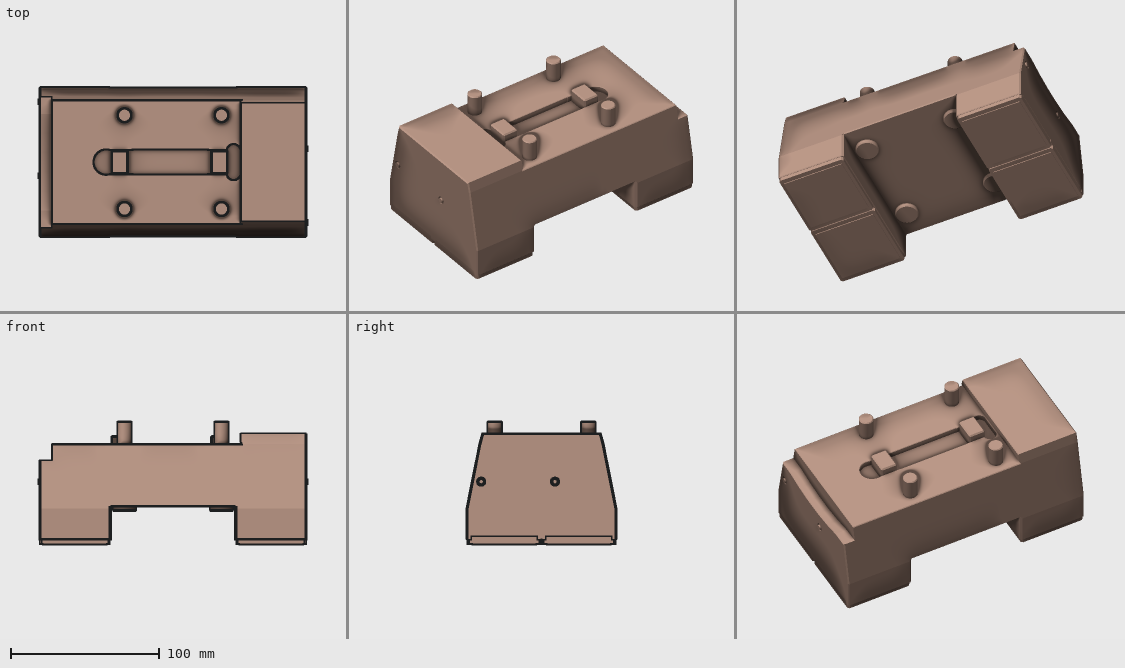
import cadquery as cq

body_length = 179.5
half_length = body_length / 2
half_width = 50.5
deck_half_width = 41.8
lid_half_width = 39.8
taper_start_z = 24.5
deck_z = 67.9
lid_top_z = 75.1
end_chamfer = 0.9
deck_chamfer = 0.45

lid_start_x = 45.2
lid_bevel = 0.5
lid_undercut = 0.9
lid_undercut_height = 1.5

ledge_length = 8.3
ledge_z = 57.0
ledge_chamfer = 0.5
dip_half_width = 32.4
dip_depth = 3.5
deck_middle_x = (ledge_length - half_length + lid_start_x) / 2

foot_gap_half = 41.6
gap_roof_z = 25.5
roof_chamfer = 0.7
inner_corner = 1.3

foot_bottom_z = 3.6
foot_edge_chamfer = 0.5
pad_bottom_z = 0.5
pad_inset = 0.7
pad_split = 0.5
pad_corner = 1.3
tread_margin = 2.2
tread_side_margin = 3.3
panel_top_z = 5.8
panel_inner_y = 2.7
panel_outer_y = 47.2
panel_depth = 0.2

bolt_x = 32.5
bolt_y = 31.5
bolt_diameter = 10.0
bolt_top_z = 83.0
bolt_chamfer = 0.63
head_diameter = 16.0
head_bottom_z = 22.8
head_chamfer = 0.7

slot_floor_z = 63.5
slot_start_x = -53.2
slot_width = 16.3
slot_end_diameter = 16.7
block_width = 16.0
slot_chamfer = 0.4
middle_start_x = -27.2
middle_end_x = 23.3
cross_slot_width = 9.0
cross_slot_length = 23.9
block_length = 11.5
block_top_z = 73.3
block_chamfer = 0.9
block_centers_x = (-35.8, 31.1)

recess_diameter = 5.6
recess_depth = 0.7
pin_diameter = 3.5
pin_height = 0.7
pin_z = 42.5
pin_near_y = 9.0
pin_far_y = 40.5


def box(x_range, y_range, z_range):
    """Box between pairs of X, Y and Z limits."""
    sizes = [high - low for low, high in (x_range, y_range, z_range)]
    corner = (x_range[0], y_range[0], z_range[0])
    return cq.Workplane("XY").box(*sizes, centered=False).translate(corner)


def make_shell():
    """Tapered prism with chamfered end faces, its underside trimmed square."""
    full_width = (-half_width, half_width)
    shell = (
        cq.Workplane("YZ", origin=(-half_length, 0, 0))
        .moveTo(-half_width, 0)
        .lineTo(half_width, 0)
        .lineTo(half_width, taper_start_z)
        .lineTo(deck_half_width, deck_z)
        .lineTo(lid_half_width, lid_top_z)
        .lineTo(-lid_half_width, lid_top_z)
        .lineTo(-deck_half_width, deck_z)
        .lineTo(-half_width, taper_start_z)
        .close()
        .extrude(body_length)
        .faces("<X or >X").edges().chamfer(end_chamfer)
    )
    return shell.cut(box((-half_length, half_length), full_width, (0, foot_bottom_z)))


def cut_deck(shell):
    """Lower everything in front of the lid down to the deck, undercutting the lid."""
    undercut_x = lid_start_x + lid_undercut
    undercut_z = deck_z + lid_undercut_height
    removed = (
        cq.Workplane("XZ")
        .moveTo(-half_length, deck_z)
        .lineTo(undercut_x, deck_z)
        .lineTo(lid_start_x, undercut_z)
        .lineTo(lid_start_x, lid_top_z - lid_bevel)
        .lineTo(lid_start_x + lid_bevel, lid_top_z)
        .lineTo(-half_length, lid_top_z)
        .close()
        .extrude(half_width, both=True)
    )
    return shell.cut(removed)


def cut_ledge(shell):
    """Step down the -X end, the step floor dipping in a shallow arc."""
    removed = (
        cq.Workplane("YZ", origin=(-half_length, 0, 0))
        .moveTo(-half_width, ledge_z)
        .lineTo(-dip_half_width, ledge_z)
        .threePointArc((0, ledge_z - dip_depth), (dip_half_width, ledge_z))
        .lineTo(half_width, ledge_z)
        .lineTo(half_width, lid_top_z)
        .lineTo(-half_width, lid_top_z)
        .close()
        .extrude(ledge_length)
    )
    shell = shell.cut(removed)
    lip_low = (-half_length - ledge_chamfer, -half_width, ledge_z - dip_depth - ledge_chamfer)
    lip_high = (-half_length + ledge_chamfer, half_width, ledge_z + ledge_chamfer)
    lip = cq.selectors.BoxSelector(lip_low, lip_high)
    return shell.edges("<X").edges(lip).chamfer(ledge_chamfer)


def bevel_deck(shell):
    """Bevel the deck along both sides and above the ledge."""
    deck = shell.faces(cq.selectors.NearestToPointSelector((deck_middle_x, 0, deck_z)))
    return deck.edges("|X or <X").chamfer(deck_chamfer)


def cut_foot_gap(shell):
    """Open the space between the feet, bevelling its roof edges and the foot corners."""
    gap = box((-foot_gap_half, foot_gap_half), (-half_width, half_width), (0, gap_roof_z))
    shell = shell.cut(gap)
    roof = shell.faces(cq.selectors.NearestToPointSelector((0, 0, gap_roof_z)))
    shell = roof.edges("|X").chamfer(roof_chamfer)
    for side_x in (-foot_gap_half, foot_gap_half):
        for side_y in (-half_width, half_width):
            bevel = (
                cq.Workplane("XY", origin=(side_x, side_y, 0))
                .polyline([(-inner_corner, 0), (0, -inner_corner), (inner_corner, 0), (0, inner_corner)])
                .close()
                .extrude(gap_roof_z)
            )
            shell = shell.cut(bevel)
    soles = shell.faces("<Z")
    return soles.edges("|X").chamfer(foot_edge_chamfer)


def make_pad(side_x, side_y):
    """One sole pad, flush with the end panel above it, and the thin tread below it."""
    inner_x = foot_gap_half + pad_inset
    length = half_length - panel_depth - inner_x
    inner_y = pad_split / 2
    width = half_width - pad_inset - inner_y
    center = (side_x * (inner_x + length / 2), side_y * (inner_y + width / 2))
    pad = (
        cq.Workplane("XY", origin=(*center, pad_bottom_z))
        .rect(length, width)
        .extrude(foot_bottom_z - pad_bottom_z)
        .edges("|Z").chamfer(pad_corner)
    )
    tread = (
        cq.Workplane("XY", origin=(*center, 0))
        .rect(length - 2 * tread_margin, width - 2 * tread_side_margin)
        .extrude(pad_bottom_z)
    )
    return pad.union(tread)


def make_end_panel(side_x, side_y):
    """Shallow panel pocket low on the outer end face of a foot."""
    x_limits = sorted((side_x * (half_length - panel_depth), side_x * half_length))
    y_limits = sorted((side_y * panel_inner_y, side_y * panel_outer_y))
    return box(x_limits, y_limits, (foot_bottom_z, panel_top_z))


def make_bolt(x, y):
    """Plain shank standing above the deck and bolt head below the gap roof."""
    shank = (
        cq.Workplane("XY", origin=(x, y, slot_floor_z))
        .circle(bolt_diameter / 2)
        .extrude(bolt_top_z - slot_floor_z)
        .faces(">Z").chamfer(bolt_chamfer)
    )
    head = (
        cq.Workplane("XY", origin=(x, y, head_bottom_z))
        .circle(head_diameter / 2)
        .extrude(gap_roof_z - head_bottom_z)
        .faces("<Z").chamfer(head_chamfer)
    )
    return shank, head


def make_slot():
    """Long slot with a round end, narrowed around both blocks, ending in a cross slot by the lid."""
    depth = deck_z - slot_floor_z
    floor = cq.Workplane("XY", origin=(0, 0, slot_floor_z))
    cross_x = lid_start_x - cross_slot_width / 2
    round_x = slot_start_x + slot_end_diameter / 2
    slot = floor.center(round_x, 0).circle(slot_end_diameter / 2).extrude(depth)
    sections = (
        (round_x, middle_start_x, block_width),
        (middle_start_x, middle_end_x, slot_width),
        (middle_end_x, cross_x, block_width),
    )
    for start_x, end_x, width in sections:
        slot = slot.union(box((start_x, end_x), (-width / 2, width / 2), (slot_floor_z, deck_z)))
    cross = floor.center(cross_x, 0).slot2D(cross_slot_length, cross_slot_width, 90).extrude(depth)
    return slot.union(cross)


def cut_slot(shell):
    """Cut the slot and bevel its rim."""
    shell = shell.cut(make_slot())
    deck = shell.faces(cq.selectors.NearestToPointSelector((deck_middle_x, 0, deck_z)))
    rim = deck.val().innerWires()[0]
    return shell.newObject(rim.Edges()).chamfer(slot_chamfer)


def make_block(x):
    """Bevelled block standing on the slot floor."""
    return (
        cq.Workplane("XY", origin=(x, 0, slot_floor_z))
        .rect(block_length, block_width)
        .extrude(block_top_z - slot_floor_z)
        .edges("|Z or >Z").chamfer(block_chamfer)
    )


def make_end_pin(side_x, y):
    """Recess and pin on an end face, the pin rising from the recess floor past the face."""
    recess = (
        cq.Workplane("YZ", origin=(side_x * half_length, y, pin_z))
        .circle(recess_diameter / 2)
        .extrude(-side_x * recess_depth)
    )
    pin = (
        cq.Workplane("YZ", origin=(side_x * (half_length - recess_depth), y, pin_z))
        .circle(pin_diameter / 2)
        .extrude(side_x * (recess_depth + pin_height))
    )
    return recess, pin


result = make_shell()
result = cut_deck(result)
result = cut_ledge(result)
result = bevel_deck(result)
result = cut_slot(result)
result = cut_foot_gap(result)

for block_x in block_centers_x:
    result = result.union(make_block(block_x))

for side_x in (-1, 1):
    for side_y in (-1, 1):
        result = result.union(make_pad(side_x, side_y))
        result = result.cut(make_end_panel(side_x, side_y))
        for bolt_part in make_bolt(side_x * bolt_x, side_y * bolt_y):
            result = result.union(bolt_part)
    for pin_y in (pin_near_y, -pin_far_y):
        recess, pin = make_end_pin(side_x, side_x * pin_y)
        result = result.cut(recess).union(pin)